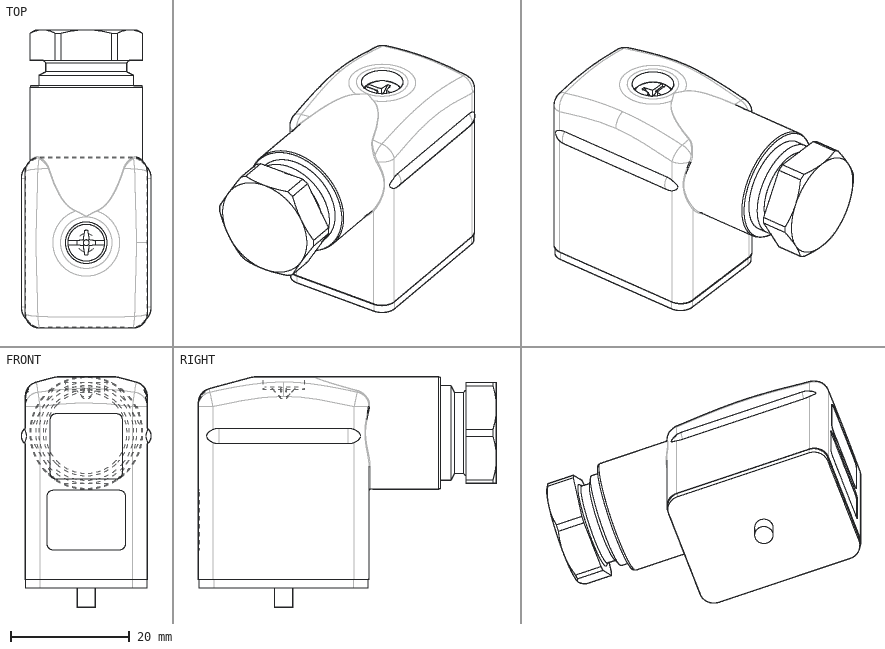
import cadquery as cq
import math

BODY_WIDTH = 20.6
BODY_LENGTH = 28.8
OVERALL_LENGTH = 50.25
CORNER_RADIUS = 2.5
GASKET_HEIGHT = 1.5
GASKET_END_INSET = 0.15
GASKET_SIDE_INSET = 0.05

TOP_Z = 35.65
DISC_RADIUS = 5.0
DOME_ANGLE = math.radians(15)
DOME_BLEND_RADIUS = 5.0

BARREL_RADIUS = 9.5
BARREL_TOP_DROP = 0.002
BARREL_AXIS_Z = TOP_Z - BARREL_TOP_DROP - BARREL_RADIUS
BARREL_END_Y = 26.45
BARREL_BEVEL_LENGTH = 0.35
BARREL_BEVEL_DEPTH = 0.15
BARREL_ROOT_FILLET = 0.2
COLLAR_RADIUS = 8.0
COLLAR_END_Y = 28.2
NECK_RADIUS = 6.85
NECK_START_Y = 28.8
NECK_END_Y = 30.3
FLARE_RADIUS = 7.25

NUT_ACROSS_FLATS = 17.0
NUT_CORNER_RADIUS = 9.5
NUT_START_Y = 30.7
NUT_END_Y = OVERALL_LENGTH - BODY_LENGTH / 2
NUT_SIDES = 6
NUT_BEVEL_ANGLE = math.radians(30)

RIB_AXIS_Z = 25.63
RIB_HEIGHT = 2.6
RIB_PROTRUSION = 0.65
RIB_STRAIGHT_LENGTH = 21.7
RIB_END_RADIUS = 2.95

UPPER_PANEL = (12.15, 18.4, 29.4, 0.05)
LOWER_PANEL = (13.2, 6.45, 16.5, 0.2)
PANEL_CORNER_RADIUS = 1.0

SCREW_HOLE_RADIUS = 3.5
SCREW_HEAD_RECESS = 1.8
SCREW_HEAD_Z = TOP_Z - SCREW_HEAD_RECESS
SCREW_HEAD_BEVEL = 0.4
SCREW_SLOT_WIDTH = 0.8
SCREW_SLOT_DEPTH = 0.6
CROSS_SPAN = 4.2
CROSS_TIP_WIDTH = 0.5
CROSS_CORE_WIDTH = 1.2
CROSS_DEPTH = 1.9
CROSS_FLOOR_RADIUS = 0.5

PIN_RADIUS = 1.55
PIN_LENGTH = 3.25


def box_between(width, length, bottom_z, top_z):
    """Block centred on the Z axis between two heights."""
    height = top_z - bottom_z
    return cq.Workplane("XY", origin=(0, 0, bottom_z)).rect(width, length).extrude(height)


def make_dome():
    """Solid of revolution whose upper surface is the flat disc, the blend and the cone."""
    tangent_length = DOME_BLEND_RADIUS * math.tan(DOME_ANGLE / 2)
    half_angle = DOME_ANGLE / 2
    outer_radius = BODY_LENGTH
    flat_end = DISC_RADIUS - tangent_length
    cone_start = (
        DISC_RADIUS + tangent_length * math.cos(DOME_ANGLE),
        TOP_Z - tangent_length * math.sin(DOME_ANGLE),
    )
    blend_middle = (
        flat_end + DOME_BLEND_RADIUS * math.sin(half_angle),
        TOP_Z - DOME_BLEND_RADIUS * (1 - math.cos(half_angle)),
    )
    rim_z = TOP_Z - (outer_radius - DISC_RADIUS) * math.tan(DOME_ANGLE)
    return (
        cq.Workplane("XZ")
        .lineTo(0, TOP_Z)
        .lineTo(flat_end, TOP_Z)
        .threePointArc(blend_middle, cone_start)
        .lineTo(outer_radius, rim_z)
        .lineTo(outer_radius, 0)
        .close()
        .revolve(360, (0, 0, 0), (0, 1, 0))
    )


def make_housing():
    """Block with rounded upright edges, a rounded-over dome and a gasket below."""
    block = box_between(BODY_WIDTH, BODY_LENGTH, GASKET_HEIGHT, TOP_Z)
    housing = block.intersect(make_dome())
    housing = housing.faces("|X or |Y").edges("not(<Z)").fillet(CORNER_RADIUS)
    gasket = box_between(
        BODY_WIDTH - 2 * GASKET_SIDE_INSET,
        BODY_LENGTH - 2 * GASKET_END_INSET,
        0,
        GASKET_HEIGHT,
    )
    return housing.union(gasket.edges("|Z").fillet(CORNER_RADIUS))


def make_cable_entry():
    """Turned barrel, collar and neck, revolved about the entry axis."""
    profile = [
        (0, 0),
        (BARREL_RADIUS, 0),
        (BARREL_RADIUS, BARREL_END_Y - BARREL_BEVEL_LENGTH),
        (BARREL_RADIUS - BARREL_BEVEL_DEPTH, BARREL_END_Y),
        (COLLAR_RADIUS, BARREL_END_Y),
        (COLLAR_RADIUS, COLLAR_END_Y),
        (NECK_RADIUS, NECK_START_Y),
        (NECK_RADIUS, NECK_END_Y),
        (FLARE_RADIUS, NUT_START_Y),
        (0, NUT_START_Y),
    ]
    turned = cq.Workplane("XY").polyline(profile).close().revolve(360, (0, 0, 0), (0, 1, 0))
    return turned.translate((0, 0, BARREL_AXIS_Z))


def is_barrel_root(edge):
    """True for an edge that lies on the barrel surface where it leaves the housing."""
    tolerance = BARREL_TOP_DROP
    points = edge.positions([0, 0.25, 0.5, 0.75, 1])
    on_barrel = all(
        abs(math.hypot(point.x, point.z - BARREL_AXIS_Z) - BARREL_RADIUS) < tolerance
        for point in points
    )
    return on_barrel and max(point.y for point in points) < BODY_LENGTH / 2 + tolerance


def join_cable_entry(housing):
    """Fuse the cable entry to the housing and fillet the joint."""
    joined = housing.union(make_cable_entry())
    root_edges = [edge for edge in joined.edges().vals() if is_barrel_root(edge)]
    return joined.newObject(root_edges).fillet(BARREL_ROOT_FILLET)


def make_nut():
    """Hexagon with flats at top and bottom, bevelled at its outer end."""
    length = NUT_END_Y - NUT_START_Y
    end_radius = NUT_ACROSS_FLATS / 2
    bevel_length = (NUT_CORNER_RADIUS - end_radius) * math.tan(NUT_BEVEL_ANGLE)
    half_side_angle = 180 / NUT_SIDES
    hexagon = (
        cq.Workplane("XZ")
        .polygon(NUT_SIDES, NUT_ACROSS_FLATS, circumscribed=True)
        .extrude(-length)
        .rotate((0, 0, 0), (0, 1, 0), half_side_angle)
    )
    envelope = (
        cq.Workplane("XY")
        .lineTo(NUT_CORNER_RADIUS, 0)
        .lineTo(NUT_CORNER_RADIUS, length - bevel_length)
        .lineTo(end_radius, length)
        .lineTo(0, length)
        .close()
        .revolve(360, (0, 0, 0), (0, 1, 0))
    )
    return hexagon.intersect(envelope).translate((0, NUT_START_Y, BARREL_AXIS_Z))


def make_rib():
    """Grip rib of the +X side: a bowed section swept straight and turned in at both ends."""
    half_height = RIB_HEIGHT / 2
    half_length = RIB_STRAIGHT_LENGTH / 2
    crest_x = BODY_WIDTH / 2 + RIB_PROTRUSION
    turn_x = crest_x - RIB_END_RADIUS

    def section(end_y):
        return (
            cq.Workplane("XZ", origin=(turn_x, end_y, RIB_AXIS_Z))
            .moveTo(0, -half_height)
            .lineTo(RIB_END_RADIUS - RIB_PROTRUSION, -half_height)
            .threePointArc((RIB_END_RADIUS, 0), (RIB_END_RADIUS - RIB_PROTRUSION, half_height))
            .lineTo(0, half_height)
            .close()
        )

    rib = section(half_length).extrude(RIB_STRAIGHT_LENGTH)
    for end_y in (-half_length, half_length):
        rib = rib.union(section(end_y).revolve(360, (0, 0, 0), (0, 1, 0)))
    return rib


def make_panel_cutter(width, bottom_z, top_z, depth):
    """Rounded rectangle sunk into the -Y face."""
    height = top_z - bottom_z
    return (
        cq.Workplane("XZ", origin=(0, -BODY_LENGTH / 2, (bottom_z + top_z) / 2))
        .rect(width, height)
        .extrude(-depth)
        .edges("|Y")
        .fillet(PANEL_CORNER_RADIUS)
    )


def make_cross_recess():
    """Cross recess whose arms widen towards the core and whose tips slope inwards with depth."""
    tip = CROSS_SPAN / 2
    half_tip_width = CROSS_TIP_WIDTH / 2
    half_core_width = CROSS_CORE_WIDTH / 2
    outline = [
        (-tip, -half_tip_width),
        (0, -half_core_width),
        (tip, -half_tip_width),
        (tip, half_tip_width),
        (0, half_core_width),
        (-tip, half_tip_width),
    ]
    arm = cq.Workplane("XY").polyline(outline).close().extrude(-CROSS_DEPTH)
    cross = arm.union(arm.rotate((0, 0, 0), (0, 0, 1), 90))
    taper = (
        cq.Workplane("XZ")
        .lineTo(tip, 0)
        .lineTo(CROSS_FLOOR_RADIUS, -CROSS_DEPTH)
        .lineTo(0, -CROSS_DEPTH)
        .close()
        .revolve(360, (0, 0, 0), (0, 1, 0))
    )
    return cross.intersect(taper).translate((0, 0, SCREW_HEAD_Z))


def make_screw_recess():
    """Material removed above and in the head of the fixing screw."""
    well = (
        cq.Workplane("XY", origin=(0, 0, SCREW_HEAD_Z))
        .circle(SCREW_HOLE_RADIUS)
        .extrude(SCREW_HEAD_RECESS)
    )
    bevel_ring = (
        cq.Workplane("XZ", origin=(0, 0, SCREW_HEAD_Z))
        .moveTo(SCREW_HOLE_RADIUS - SCREW_HEAD_BEVEL, 0)
        .lineTo(SCREW_HOLE_RADIUS, 0)
        .lineTo(SCREW_HOLE_RADIUS, -SCREW_HEAD_BEVEL)
        .close()
        .revolve(360, (0, 0, 0), (0, 1, 0))
    )
    slot = box_between(
        2 * (SCREW_HOLE_RADIUS - SCREW_HEAD_BEVEL),
        SCREW_SLOT_WIDTH,
        SCREW_HEAD_Z - SCREW_SLOT_DEPTH,
        SCREW_HEAD_Z,
    )
    return well.union(bevel_ring).union(slot).union(make_cross_recess())


rib = make_rib()
pin = cq.Workplane("XY").circle(PIN_RADIUS).extrude(-PIN_LENGTH)

result = join_cable_entry(make_housing()).union(make_nut())
result = result.union(rib).union(rib.mirror("YZ")).union(pin)
for panel in (UPPER_PANEL, LOWER_PANEL):
    result = result.cut(make_panel_cutter(*panel))
result = result.cut(make_screw_recess())